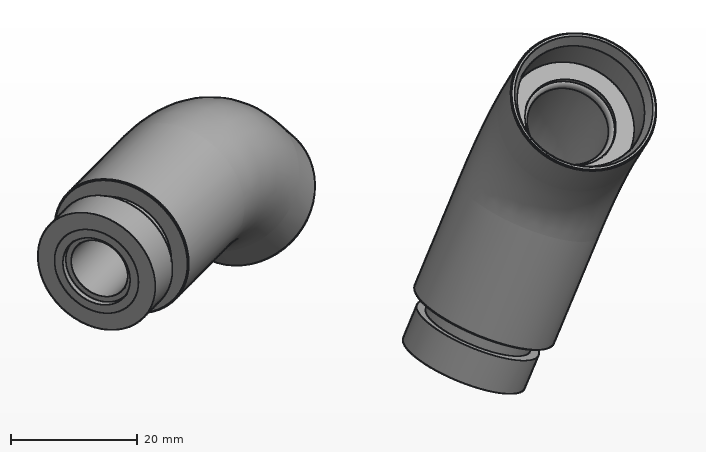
import cadquery as cq
import math

bend_angle = 45.0
bend_radius = 25.0
pipe_radius = 12.005
edge_chamfer = 0.2
front_pipe_length = 19.5
rear_pipe_length = 8.1

flange_radius = 10.5
flange_length = 6.0
neck_radius = 9.0
neck_length = 2.6
bend_start = flange_length + neck_length + front_pipe_length

bore_radius = 7.5
socket_radius = flange_radius
socket_depth = rear_pipe_length
mouth_chamfer_depth = 1.75
mouth_chamfer_width = 0.9

sleeve_bore_radius = 5.0
sleeve_recess_radius = 6.0
sleeve_recess_depth = 1.0

seal_section_radius = 0.8
seal_setback = 1.6

angle = math.radians(bend_angle)
axis_y = math.cos(angle)
axis_z = -math.sin(angle)
rear_center = (
    0,
    bend_start + bend_radius * math.sin(angle) + rear_pipe_length * axis_y,
    -bend_radius * (1 - math.cos(angle)) + rear_pipe_length * axis_z,
)
rear_plane = cq.Plane(origin=rear_center, xDir=(1, 0, 0), normal=(0, axis_y, axis_z))


def front_cylinder(radius, start, length):
    """Cylinder along +Y that begins at y = start."""
    plane = cq.Plane(origin=(0, start, 0), xDir=(1, 0, 0), normal=(0, 1, 0))
    return cq.Workplane(plane).circle(radius).extrude(length)


def rear_cylinder(radius, depth):
    """Cylinder that runs from the rear end face into the elbow."""
    return cq.Workplane(rear_plane).circle(radius).extrude(-depth)


def bend(radius):
    """Round bend between the front and rear straight lengths."""
    plane = cq.Plane(origin=(0, bend_start, 0), xDir=(1, 0, 0), normal=(0, 1, 0))
    return (
        cq.Workplane(plane)
        .circle(radius)
        .revolve(bend_angle, (0, bend_radius, 0), (-1, bend_radius, 0))
    )


def make_seal():
    """O-ring around the rear axis."""
    torus = cq.Solid.makeTorus(
        bore_radius,
        seal_section_radius,
        rear_plane.toWorldCoords((0, 0, -socket_depth - seal_setback)),
        rear_plane.zDir,
    )
    return cq.Workplane(obj=torus)


def make_mouth():
    """Conical lead-in that widens the socket towards the rear end face."""
    cone = cq.Solid.makeCone(
        socket_radius + mouth_chamfer_width,
        socket_radius,
        mouth_chamfer_depth,
        cq.Vector(*rear_center),
        -rear_plane.zDir,
    )
    return cq.Workplane(obj=cone)


def make_elbow(seal):
    rear_end = cq.selectors.DirectionMinMaxSelector(rear_plane.zDir)
    front_pipe = front_cylinder(pipe_radius, flange_length + neck_length, front_pipe_length)
    rear_pipe = rear_cylinder(pipe_radius, rear_pipe_length)
    body = (
        front_pipe.faces("<Y").chamfer(edge_chamfer)
        .union(bend(pipe_radius))
        .union(rear_pipe.faces(rear_end).chamfer(edge_chamfer))
        .union(front_cylinder(neck_radius, flange_length, neck_length))
        .union(front_cylinder(flange_radius, 0, flange_length))
    )
    return (
        body.cut(front_cylinder(bore_radius, 0, bend_start))
        .cut(bend(bore_radius))
        .cut(rear_cylinder(socket_radius, socket_depth))
        .cut(make_mouth())
        .cut(seal)
    )


def make_sleeve():
    return (
        front_cylinder(bore_radius, 0, bend_start)
        .cut(front_cylinder(sleeve_bore_radius, 0, bend_start))
        .cut(front_cylinder(sleeve_recess_radius, 0, sleeve_recess_depth))
    )


seal_ring = make_seal()
sleeve = make_sleeve()
elbow = make_elbow(seal_ring)

result = cq.Compound.makeCompound([elbow.val(), sleeve.val(), seal_ring.val()])